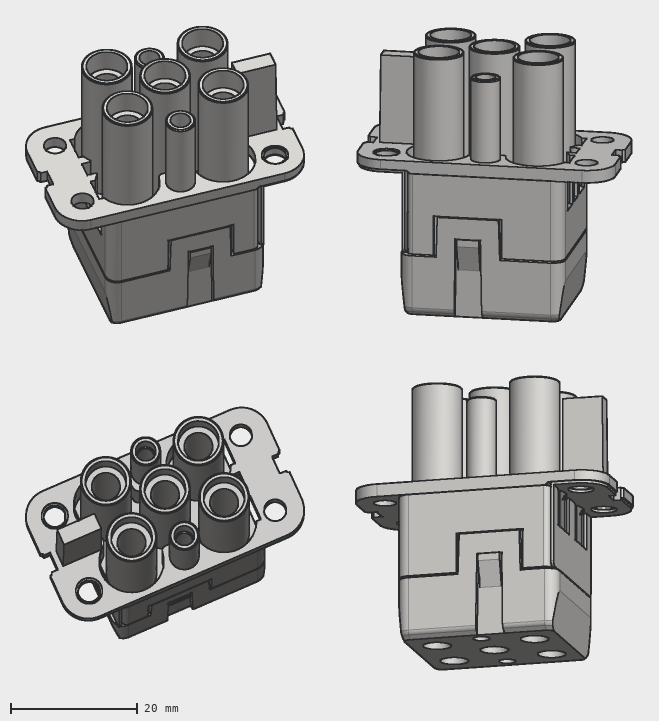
import cadquery as cq

HEIGHT = 42.0
FLANGE_X = 22.3
FLANGE_Y = 41.5
FLANGE_BOTTOM = 23.48
FLANGE_TOP = 25.55
POCKET_FLOOR = 17.55
HOUSING_BOTTOM = 10.2
CAP_TOP = 9.9

FLANGE_CORNER = 4.5
NOTCH_WIDTH = 3.02
NOTCH_DEPTH = 1.5
NOTCH_EDGE_RADIUS = 0.4
NOTCH_BOTTOM_RADIUS = 0.45
MOUNT_X = 6.68
MOUNT_Y = 16.13
MOUNT_DIAMETER = 3.53
COUNTERBORE_DIAMETER = 4.2
COUNTERBORE_DEPTH = 0.25
PLATE_HOLE_DIAMETER = 4.05

BODY_HALF_X = 10.9
BODY_FRONT_Y = -13.15
HOUSING_BACK_Y = 12.05
CAP_BACK_Y = 13.27
BODY_CORNER = 2.0
HOUSING_BACK_CORNER = 0.92
GROOVE_DEPTH = 0.95
CORE_HALF_X = BODY_HALF_X - GROOVE_DEPTH
CAP_CHAMFER = 0.95
CAP_CHAMFER_BLEND = 1.0
CAP_TAPER_START = 6.6
CAP_FRONT_TAPER = 0.85
CAP_BACK_TAPER = 0.92

TAB_BASE_Y = (-2.95, 7.3)
TAB_TOP_Y = (-2.75, 7.15)
TAB_TOP = 16.45
RECESS_Y = (-3.25, 7.75)
RECESS_TOP = 16.65
SLOT_BASE_Y = (-0.05, 4.4)
SLOT_TOP_Y = (0.15, 4.3)
SLOT_TOP = 13.0
LATCH_Y = (0.4, 3.95)
LATCH_BOTTOM = 7.75
LATCH_RAMP_TOP = 11.9
LATCH_HALF_X = 11.15

TUBE_X = 5.0
TUBE_Y = 8.02
TUBE_DIAMETER = 8.0
TUBE_BORE = 6.5
TUBE_BORE_DEPTH = 3.82
TUBE_HOLE = 4.5
TUBE_EDGE = 0.15
SIDE_TUBE_X = 7.5
SIDE_TUBE_TOP = 39.0
SIDE_TUBE_DIAMETER = 4.7
SIDE_TUBE_BORE = 3.2
SIDE_TUBE_BORE_DEPTH = 3.82
SIDE_TUBE_HOLE = 2.65
SIDE_TUBE_EDGE = 0.2

POCKET_RADIUS = 5.12
POCKET_WAIST_HALF_X = 4.9
POCKET_SIDE_FILLET = 0.85
POCKET_TIP_FILLET = 1.25
WINDOW_FRONT_Y = -13.5
WINDOW_WIDTH = 4.2
KEY_WIDTH = 2.7
KEY_SLOT_FILLET = 0.25

KEY_FRONT_Y = 11.65
KEY_BACK_BASE_Y = 18.25
KEY_BACK_TOP_Y = 18.1
KEY_TOP = 39.95

PLATE_INSET = 0.25
PLATE_THICKNESS = 0.45
PLATE_FRONT_Y = 12.35
PLATE_CORNER = 0.92
PLATE_WINDOW_WIDTH = 6.55
PLATE_SEAT_FRONT_Y = 11.55
SPACER_HALF_X = 8.8
SPACER_BOTTOM = 10.4

TUBE_CENTRES = [(0, 0)] + [(sx * TUBE_X, sy * TUBE_Y) for sx in (-1, 1) for sy in (-1, 1)]
SIDE_TUBE_CENTRES = [(-SIDE_TUBE_X, 0), (SIDE_TUBE_X, 0)]


def box(x0, x1, y0, y1, z0, z1):
    """Box between two corners."""
    return cq.Workplane("XY", origin=(x0, y0, z0)).box(x1 - x0, y1 - y0, z1 - z0, centered=False)


def prism_along_x(points, half_width):
    """Solid of a YZ outline, centred on X = 0."""
    return cq.Workplane("YZ").polyline(points).close().extrude(half_width, both=True)


def side_prism(points, inner_x, outer_x):
    """Solid of a YZ outline between two X distances, on both X sides."""
    right = cq.Workplane("YZ", origin=(inner_x, 0, 0)).polyline(points).close().extrude(outer_x - inner_x)
    return right.union(right.mirror("YZ"))


def trapezoid(base_y, top_y, z0, z1):
    return [(base_y[0], z0), (base_y[1], z0), (top_y[1], z1), (top_y[0], z1)]


def cylinders(centres, diameter, z0, z1):
    return cq.Workplane("XY", origin=(0, 0, z0)).pushPoints(centres).circle(diameter / 2).extrude(z1 - z0)


def make_cap():
    """Rounded block, tapered in Y towards the bottom, with a blended chamfer round its bottom X sides."""
    cap = box(-BODY_HALF_X, BODY_HALF_X, BODY_FRONT_Y, CAP_BACK_Y, 0, CAP_TOP)
    cap = cap.edges("|Z").fillet(BODY_CORNER)
    cap = cap.faces("<Z").edges().chamfer(CAP_CHAMFER)
    chamfer_height = cq.selectors.BoxSelector(
        (-FLANGE_X, -FLANGE_Y, CAP_CHAMFER / 2), (FLANGE_X, FLANGE_Y, CAP_CHAMFER * 1.5)
    )
    cap = cap.edges(chamfer_height).edges("|Y").fillet(CAP_CHAMFER_BLEND)
    flat_half_x = BODY_HALF_X - BODY_CORNER
    cap = cap.union(box(-flat_half_x, flat_half_x, BODY_FRONT_Y, CAP_BACK_Y, 0, CAP_TOP))
    taper = [
        (BODY_FRONT_Y + CAP_FRONT_TAPER, 0),
        (CAP_BACK_Y - CAP_BACK_TAPER, 0),
        (CAP_BACK_Y, CAP_TAPER_START),
        (CAP_BACK_Y, CAP_TOP),
        (BODY_FRONT_Y, CAP_TOP),
        (BODY_FRONT_Y, CAP_TAPER_START),
    ]
    return cap.intersect(prism_along_x(taper, BODY_HALF_X))


def make_housing():
    housing = box(-BODY_HALF_X, BODY_HALF_X, BODY_FRONT_Y, HOUSING_BACK_Y, HOUSING_BOTTOM, FLANGE_BOTTOM)
    housing = housing.edges("|Z and <Y").fillet(BODY_CORNER)
    housing = housing.edges("|Z and >Y").fillet(HOUSING_BACK_CORNER)
    recess = trapezoid(RECESS_Y, RECESS_Y, HOUSING_BOTTOM, RECESS_TOP)
    return housing.cut(side_prism(recess, CORE_HALF_X, BODY_HALF_X))


def make_groove_core():
    """Core that joins cap and housing at the bottom of the parting groove."""
    core_front_y = BODY_FRONT_Y + GROOVE_DEPTH
    core = box(-CORE_HALF_X, CORE_HALF_X, core_front_y, HOUSING_BACK_Y, CAP_TOP, HOUSING_BOTTOM)
    return core.edges("|Z").fillet(HOUSING_BACK_CORNER)


def make_tabs():
    """Side tabs of the cap, standing in the recesses of the housing."""
    return side_prism(trapezoid(TAB_BASE_Y, TAB_TOP_Y, CAP_TOP, TAB_TOP), CORE_HALF_X, BODY_HALF_X)


def make_latch_slots():
    return side_prism(trapezoid(SLOT_BASE_Y, SLOT_TOP_Y, 0, SLOT_TOP), CORE_HALF_X, LATCH_HALF_X)


def make_latches():
    """Ramped latch in each slot."""
    ramp = [
        (CORE_HALF_X, LATCH_BOTTOM),
        (LATCH_HALF_X, LATCH_RAMP_TOP),
        (LATCH_HALF_X, SLOT_TOP),
        (CORE_HALF_X, SLOT_TOP),
    ]
    latch = cq.Workplane("XZ", origin=(0, LATCH_Y[1], 0)).polyline(ramp).close()
    latch = latch.extrude(LATCH_Y[1] - LATCH_Y[0])
    return latch.union(latch.mirror("YZ"))


def flange_layer(inset, z0, z1):
    """Rounded flange outline, moved inwards by the inset."""
    layer = cq.Workplane("XY", origin=(0, 0, z0))
    layer = layer.rect(FLANGE_X - 2 * inset, FLANGE_Y - 2 * inset).extrude(z1 - z0)
    return layer.edges("|Z").fillet(FLANGE_CORNER - inset)


def make_flange():
    flange = flange_layer(0, FLANGE_BOTTOM, FLANGE_TOP)
    seat_top = FLANGE_BOTTOM + PLATE_THICKNESS
    seat = [
        (PLATE_SEAT_FRONT_Y, FLANGE_BOTTOM),
        (PLATE_SEAT_FRONT_Y + PLATE_THICKNESS, seat_top),
        (FLANGE_Y / 2, seat_top),
        (FLANGE_Y / 2, FLANGE_BOTTOM),
    ]
    return flange.cut(prism_along_x(seat, FLANGE_X / 2))


def make_plate():
    """Angled plate: one leg under the flange, one windowed leg down behind the housing, and its spacer."""
    half_x = FLANGE_X / 2 - PLATE_INSET
    top = FLANGE_BOTTOM + PLATE_THICKNESS
    leg = flange_layer(PLATE_INSET, FLANGE_BOTTOM, top)
    leg = leg.intersect(box(-half_x, half_x, PLATE_FRONT_Y, FLANGE_Y / 2, FLANGE_BOTTOM, top))
    back_y = PLATE_FRONT_Y + PLATE_THICKNESS
    hanging = box(-half_x, half_x, PLATE_FRONT_Y, back_y, HOUSING_BOTTOM, top)
    hanging = hanging.edges("|Y and <Z").fillet(PLATE_CORNER)
    half_window = PLATE_WINDOW_WIDTH / 2
    for x in (-TUBE_X, TUBE_X):
        hanging = hanging.cut(
            box(x - half_window, x + half_window, PLATE_FRONT_Y, back_y, POCKET_FLOOR, FLANGE_BOTTOM)
        )
    spacer = box(-SPACER_HALF_X, SPACER_HALF_X, HOUSING_BACK_Y, PLATE_FRONT_Y, SPACER_BOTTOM, TAB_TOP)
    return leg.union(hanging).union(spacer)


def make_notches():
    """Edge notches of the flange, with rounded mouths; the front one is rounded off at its bottom edge."""
    thickness = FLANGE_TOP - FLANGE_BOTTOM
    half = NOTCH_WIDTH / 2
    edge = FLANGE_Y / 2
    r = NOTCH_EDGE_RADIUS
    mouth = (
        cq.Workplane("XY", origin=(0, 0, FLANGE_BOTTOM))
        .moveTo(-half, NOTCH_DEPTH - edge)
        .lineTo(-half, r - edge)
        .radiusArc((-half - r, -edge), -r)
        .lineTo(half + r, -edge)
        .radiusArc((half, r - edge), -r)
        .lineTo(half, NOTCH_DEPTH - edge)
        .close()
        .extrude(thickness)
    )
    back_y = NOTCH_DEPTH - edge
    bottom_round = (
        cq.Workplane("YZ")
        .moveTo(back_y, FLANGE_BOTTOM)
        .lineTo(back_y + NOTCH_BOTTOM_RADIUS, FLANGE_BOTTOM)
        .radiusArc((back_y, FLANGE_BOTTOM + NOTCH_BOTTOM_RADIUS), NOTCH_BOTTOM_RADIUS)
        .close()
        .extrude(half, both=True)
    )
    return mouth.union(mouth.mirror("XZ")).union(bottom_round)


def make_mount_holes():
    """Four mounting holes; the back pair has a shallow counterbore and widens through the plate."""
    back = [(-MOUNT_X, MOUNT_Y), (MOUNT_X, MOUNT_Y)]
    front = [(x, -y) for x, y in back]
    holes = cylinders(back + front, MOUNT_DIAMETER, FLANGE_BOTTOM, FLANGE_TOP)
    counterbores = cylinders(back, COUNTERBORE_DIAMETER, FLANGE_TOP - COUNTERBORE_DEPTH, FLANGE_TOP)
    plate_holes = cylinders(back, PLATE_HOLE_DIAMETER, FLANGE_BOTTOM, FLANGE_BOTTOM + PLATE_THICKNESS)
    return holes.union(counterbores).union(plate_holes)


def make_pocket():
    """Clover-shaped pocket around the five tubes, with three front windows."""
    lobes = TUBE_CENTRES[1:]
    waist = POCKET_WAIST_HALF_X
    pocket = box(-waist, waist, -TUBE_Y, TUBE_Y, POCKET_FLOOR, FLANGE_TOP)
    for lobe in lobes:
        pocket = pocket.union(cylinders([lobe], 2 * POCKET_RADIUS, POCKET_FLOOR, FLANGE_TOP))
    waist_corners = cq.selectors.BoxSelector(
        (-waist - 0.4, -TUBE_Y + 0.4, 0), (waist + 0.4, TUBE_Y - 0.4, HEIGHT)
    )
    tip = cq.selectors.BoxSelector((-0.4, TUBE_Y + 0.4, 0), (0.4, TUBE_Y + POCKET_RADIUS, HEIGHT))
    pocket = pocket.edges("|Z").edges(waist_corners).fillet(POCKET_SIDE_FILLET)
    pocket = pocket.edges("|Z").edges(tip).fillet(POCKET_TIP_FILLET)
    for x, width in ((-TUBE_X, WINDOW_WIDTH), (0, KEY_WIDTH), (TUBE_X, WINDOW_WIDTH)):
        half = width / 2
        pocket = pocket.union(box(x - half, x + half, WINDOW_FRONT_Y, -TUBE_Y, POCKET_FLOOR, FLANGE_TOP))
    key_slot_corners = cq.selectors.BoxSelector(
        (-KEY_WIDTH, -TUBE_Y - POCKET_RADIUS + 0.4, 0), (KEY_WIDTH, -TUBE_Y - 0.4, HEIGHT)
    )
    pocket = pocket.edges("|Z").edges(key_slot_corners).fillet(KEY_SLOT_FILLET)
    return pocket


def make_key():
    profile = [
        (KEY_FRONT_Y, FLANGE_TOP),
        (KEY_BACK_BASE_Y, FLANGE_TOP),
        (KEY_BACK_TOP_Y, KEY_TOP),
        (KEY_FRONT_Y, KEY_TOP),
    ]
    return prism_along_x(profile, KEY_WIDTH / 2)


def make_tubes(centres, diameter, z0, z1, edge):
    return cylinders(centres, diameter, z0, z1).faces(">Z").edges().chamfer(edge)


def make_bores(centres, bore, bore_depth, hole, top):
    bores = cylinders(centres, bore, top - bore_depth, top)
    return bores.union(cylinders(centres, hole, 0, top))


body = make_cap().union(make_groove_core()).union(make_housing()).union(make_tabs())
body = body.cut(make_latch_slots()).union(make_latches())
body = body.union(make_flange()).union(make_plate())
body = body.cut(make_notches()).cut(make_mount_holes()).cut(make_pocket())
body = body.union(make_key())
body = body.union(make_tubes(TUBE_CENTRES, TUBE_DIAMETER, POCKET_FLOOR, HEIGHT, TUBE_EDGE))
body = body.union(
    make_tubes(SIDE_TUBE_CENTRES, SIDE_TUBE_DIAMETER, FLANGE_TOP, SIDE_TUBE_TOP, SIDE_TUBE_EDGE)
)
body = body.cut(make_bores(TUBE_CENTRES, TUBE_BORE, TUBE_BORE_DEPTH, TUBE_HOLE, HEIGHT))
result = body.cut(
    make_bores(SIDE_TUBE_CENTRES, SIDE_TUBE_BORE, SIDE_TUBE_BORE_DEPTH, SIDE_TUBE_HOLE, SIDE_TUBE_TOP)
)